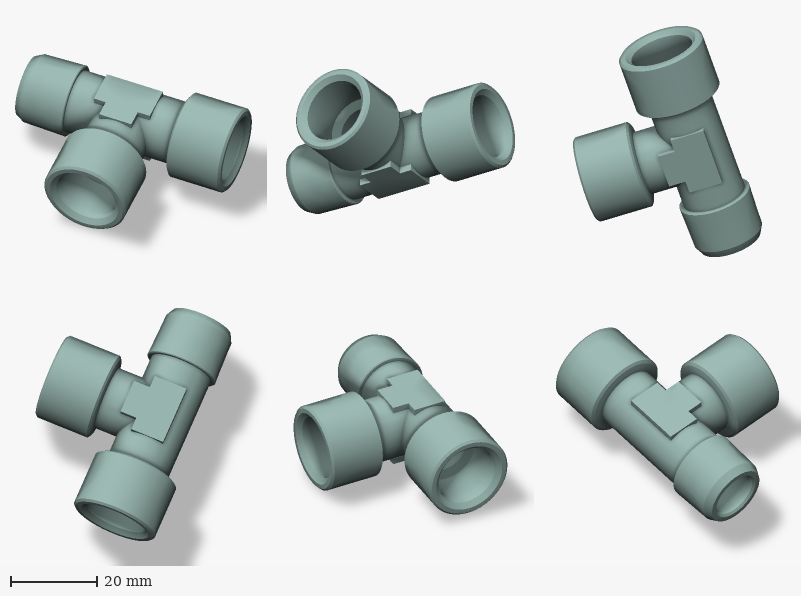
import cadquery as cq

run_length = 52.5
branch_x = 25.45
branch_length = 27.05
tube_radius = 7.5
bore_radius = 5.5

male_length = 12.35
male_tip_radius = 7.3
male_small_radius = 8.3
male_large_radius = 8.6
male_chamfer_length = 1.95
male_back_chamfer = 0.2
bore_mouth_chamfer = 0.5

socket_length = 13.95
socket_radius = 10.25
socket_rim_chamfer = 0.5
shoulder_radius = 9.55
shoulder_length = 0.4
socket_back_length = 0.9
thread_radius = 7.45
thread_mouth_radius = 8.6
thread_mouth_depth = thread_mouth_radius - thread_radius
thread_depth = 11.55
drill_tip_length = 1.1

pad_width = 14.05
pad_back_y = 4.0
pad_front_y = -4.05
pad_stem_width = 8.1
pad_stem_y = -8.05
pad_height = 8.05
pad_thickness = 1.6


def revolve_on_x(points):
    """Turn a closed (distance, radius) outline around the X axis."""
    outline = cq.Workplane("XY").polyline(points).close()
    return outline.revolve(360, (0, 0, 0), (1, 0, 0))


def socket_body(end):
    """Female collar around X with its open rim at distance `end`."""
    back = end - socket_length
    return revolve_on_x([
        (back, 0),
        (back, tube_radius),
        (back + shoulder_length, shoulder_radius),
        (back + socket_back_length, socket_radius),
        (end - socket_rim_chamfer, socket_radius),
        (end, socket_radius - socket_rim_chamfer),
        (end, 0),
    ])


def socket_cavity(end):
    """Countersunk thread hole around X with a conical bottom."""
    bottom = end - thread_depth
    return revolve_on_x([
        (bottom - drill_tip_length, 0),
        (bottom - drill_tip_length, bore_radius),
        (bottom, thread_radius),
        (end - thread_mouth_depth, thread_radius),
        (end, thread_mouth_radius),
        (end, 0),
    ])


def male_body(start):
    """Tapered male plug around X with its tip at distance `start`."""
    back = start + male_length
    return revolve_on_x([
        (start, 0),
        (start, male_tip_radius),
        (start + male_chamfer_length, male_small_radius),
        (back - male_back_chamfer, male_large_radius),
        (back, male_large_radius - male_back_chamfer),
        (back, 0),
    ])


def cylinder_on_x(start, end, radius):
    """Solid rod around X between two distances."""
    return cq.Workplane("YZ", origin=(start, 0, 0)).circle(radius).extrude(end - start)


def to_branch(body):
    """Swing a body from the +X direction to the branch direction, -Y."""
    return body.rotate((0, 0, 0), (0, 0, 1), -90)


def flat_pad(bottom_z):
    """T-shaped plate whose lower face is at `bottom_z`."""
    half_width = pad_width / 2
    half_stem = pad_stem_width / 2
    outline = cq.Workplane("XY", origin=(0, 0, bottom_z)).polyline([
        (-half_width, pad_back_y),
        (half_width, pad_back_y),
        (half_width, pad_front_y),
        (half_stem, pad_front_y),
        (half_stem, pad_stem_y),
        (-half_stem, pad_stem_y),
        (-half_stem, pad_front_y),
        (-half_width, pad_front_y),
    ])
    return outline.close().extrude(pad_thickness)


male_end = -branch_x
female_end = run_length - branch_x

body = cylinder_on_x(male_end + male_length, female_end - socket_length, tube_radius)
body = body.union(to_branch(cylinder_on_x(0, branch_length - socket_length, tube_radius)))
body = body.union(male_body(male_end))
body = body.union(socket_body(female_end))
body = body.union(to_branch(socket_body(branch_length)))
for pad_bottom in (pad_height - pad_thickness, -pad_height):
    body = body.union(flat_pad(pad_bottom))

bore_mouth = revolve_on_x([
    (male_end, 0),
    (male_end, bore_radius + bore_mouth_chamfer),
    (male_end + bore_mouth_chamfer, bore_radius),
    (male_end + bore_mouth_chamfer, 0),
])
body = body.cut(cylinder_on_x(male_end, female_end, bore_radius))
body = body.cut(to_branch(cylinder_on_x(0, branch_length, bore_radius)))
body = body.cut(bore_mouth)
body = body.cut(socket_cavity(female_end))
result = body.cut(to_branch(socket_cavity(branch_length)))